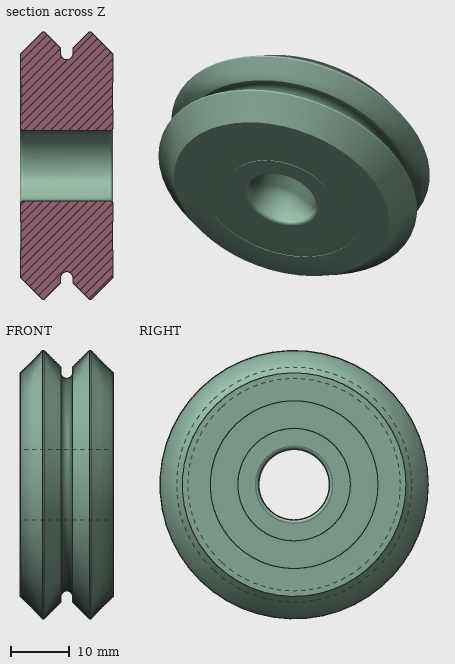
import cadquery as cq

width = 15.9
rim_radius = 22.9
rim_offset = 4.0
rim_flat = 0.27
neck_half_width = 1.0
neck_bottom_radius = 18.15
bore_diameter = 12.0
bore_fillet = 0.6

shield_inner_diameter = 19.2
shield_outer_diameter = 28.62
shield_depth = 0.1

half_width = width / 2
rim_outer_x = rim_offset + rim_flat / 2
rim_inner_x = rim_offset - rim_flat / 2

face_radius = rim_radius - (half_width - rim_outer_x)
neck_top_radius = rim_radius - (rim_inner_x - neck_half_width)
neck_arc_radius = neck_bottom_radius + neck_half_width


def wheel_body():
    """Revolve the solid outline with two V rims and a rounded neck."""
    outline = (
        cq.Workplane("XY")
        .moveTo(-half_width, 0)
        .lineTo(-half_width, face_radius)
        .lineTo(-rim_outer_x, rim_radius)
        .lineTo(-rim_inner_x, rim_radius)
        .lineTo(-neck_half_width, neck_top_radius)
        .lineTo(-neck_half_width, neck_arc_radius)
        .threePointArc((0, neck_bottom_radius), (neck_half_width, neck_arc_radius))
        .lineTo(neck_half_width, neck_top_radius)
        .lineTo(rim_inner_x, rim_radius)
        .lineTo(rim_outer_x, rim_radius)
        .lineTo(half_width, face_radius)
        .lineTo(half_width, 0)
        .close()
    )
    return outline.revolve(360, (0, 0, 0), (1, 0, 0))


def cut_bore(body):
    """Cut the through bore and round both of its mouths."""
    bore = cq.Workplane("YZ", origin=(-half_width, 0, 0)).circle(bore_diameter / 2).extrude(width)
    mouth = cq.selectors.RadiusNthSelector(0)
    return body.cut(bore).faces("<X or >X").edges(mouth).fillet(bore_fillet)


def shield_recess(start_x):
    """Ring of material to remove, one recess deep in the +X direction."""
    return (
        cq.Workplane("YZ", origin=(start_x, 0, 0))
        .circle(shield_outer_diameter / 2)
        .circle(shield_inner_diameter / 2)
        .extrude(shield_depth)
    )


result = cut_bore(wheel_body())
for recess_start in (-half_width, half_width - shield_depth):
    result = result.cut(shield_recess(recess_start))